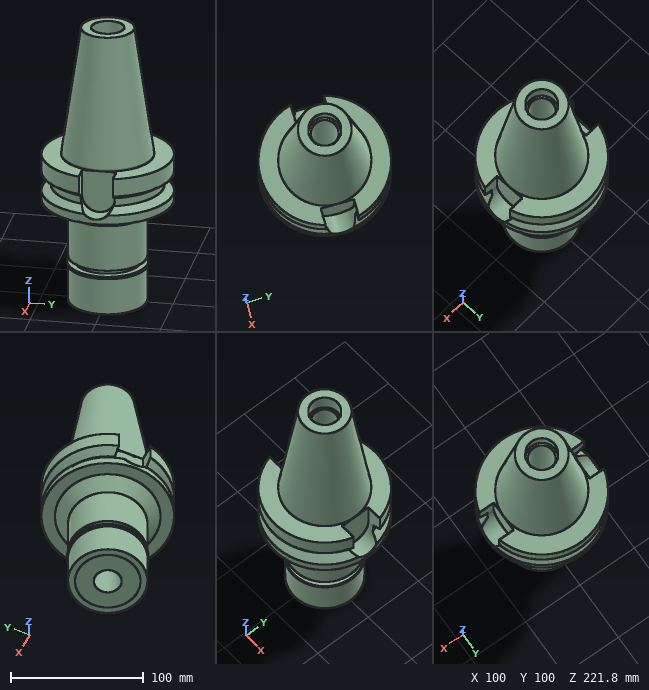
import cadquery as cq

total_height = 221.8
gauge_z = 120.0
flange_top_z = 118.9
groove_top_z = 104.7
groove_floor_top_z = 100.3
groove_floor_bottom_z = 93.8
groove_bottom_z = 89.2
flange_bottom_z = 81.8
barrel_bottom_z = 35.7
ring_top_z = 31.0
nut_top_z = 28.8

flange_radius = 100.0 / 2
groove_radius = 42.8
barrel_radius = 30.0
neck_radius = 24.6
ring_radius = 30.5
bore_radius = 10.5
counterbore_radius = 12.5
counterbore_depth = 13.0

taper_slope = 7 / 48
gauge_radius = 35.0
taper_top_radius = gauge_radius - (total_height - gauge_z) * taper_slope

cone_height = 9.8
cone_top_radius = barrel_radius + cone_height

slot_width = 26.0
slot_bottom_z = 85.6
slot_floor_x = 35.0

ring_chamfer = 0.7


def make_holder():
    """Tapered chuck body with its flange and a neck that carries the ring and nut."""
    profile = [
        (bore_radius, 0),
        (neck_radius, 0),
        (neck_radius, barrel_bottom_z),
        (barrel_radius, barrel_bottom_z),
        (barrel_radius, flange_bottom_z - cone_height),
        (cone_top_radius, flange_bottom_z),
        (flange_radius, flange_bottom_z),
        (flange_radius, groove_bottom_z),
        (groove_radius, groove_floor_bottom_z),
        (groove_radius, groove_floor_top_z),
        (flange_radius, groove_top_z),
        (flange_radius, flange_top_z),
        (gauge_radius, flange_top_z),
        (gauge_radius, gauge_z),
        (taper_top_radius, total_height),
        (counterbore_radius, total_height),
        (counterbore_radius, total_height - counterbore_depth),
        (bore_radius, total_height - counterbore_depth),
    ]
    holder = cq.Workplane("XZ").polyline(profile).close().revolve(360, (0, 0, 0), (0, 1, 0))
    for side in (-1, 1):
        holder = holder.cut(make_slot_cutter(side))
    return holder


def make_slot_cutter(side):
    """Round-bottomed drive slot, open at the flange top and rim; side is the sign of X."""
    half_width = slot_width / 2
    arc_center_z = slot_bottom_z + half_width
    return (
        cq.Workplane("YZ", origin=(side * slot_floor_x, 0, 0))
        .moveTo(-half_width, flange_top_z)
        .lineTo(-half_width, arc_center_z)
        .threePointArc((0, slot_bottom_z), (half_width, arc_center_z))
        .lineTo(half_width, flange_top_z)
        .close()
        .extrude(side * flange_radius)
    )


def make_sleeve(outer_radius, bottom_z, top_z):
    """Plain sleeve that fits around the neck."""
    return (
        cq.Workplane("XY", origin=(0, 0, bottom_z))
        .circle(outer_radius)
        .circle(neck_radius)
        .extrude(top_z - bottom_z)
    )


def make_ring():
    """Thin ring above the nut, chamfered at its lower outer edge."""
    ring = make_sleeve(ring_radius, nut_top_z, ring_top_z)
    outer_edge = cq.selectors.RadiusNthSelector(-1)
    return ring.faces("<Z").edges(outer_edge).chamfer(ring_chamfer)


holder = make_holder()
ring = make_ring()
nut = make_sleeve(barrel_radius, 0, nut_top_z)

result = cq.Compound.makeCompound([holder.val(), ring.val(), nut.val()])